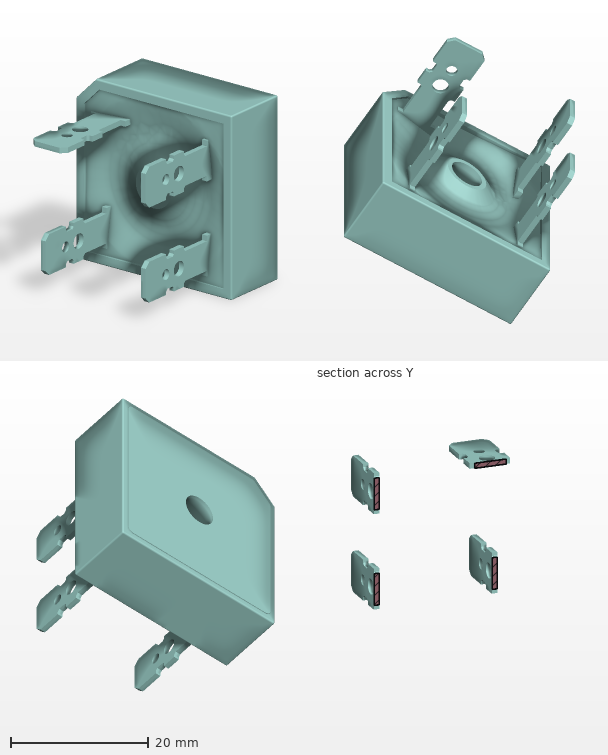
import cadquery as cq
import math


CASE_SIDE = 28.7
CASE_DEPTH = 11.08
CORNER_CLIP = 3.73
EDGE_RADIUS = 0.25
BORE_DIAMETER = 5.1

PLATE_INSET = 0.98
PLATE_HEIGHT = 0.11
PLATE_CORNER_RADIUS = 0.92

RIM_WIDTH = 1.5
BOSS_RADIUS = 3.3
BOSS_FOOT_RADIUS = 5.75
BOSS_FOOT_DEPTH = 1.44
DISH_LOW_RADIUS = 8.32
DISH_LOW_DEPTH = 1.78
DISH_RISE_RADIUS = 10.62
DISH_RISE_DEPTH = 1.25
DISH_EDGE_RADIUS = 13.2
DISH_EDGE_DEPTH = 0.6
DISH_CORNER_DEPTH = 0.17
BOSS_SLOPE = (1.0, 0.6)
CORNER_SLOPE = (1.0, -0.1)

TAB_REACH = 14.32
TAB_WIDTH = 6.35
TAB_THICKNESS = 0.85
TIP_CHAMFER = 0.85
NECK_WIDTH = TAB_WIDTH - 2 * TIP_CHAMFER
NOTCH_START = 4.82
NOTCH_END = 6.7
SHOULDER_END = 9.05
INNER_CORNER_CHAMFER = 0.35
LARGE_HOLE_DIAMETER = 2.38
LARGE_HOLE_SETBACK = (NOTCH_END + SHOULDER_END) / 2
SMALL_HOLE_DIAMETER = 1.66
SMALL_HOLE_SETBACK = 4.75
SELECT_MARGIN = 0.03
FOOT_RECESS = 0.17
FOOT_ROOT_DEPTH = 2.87

SIDE_TAB_X = 9.25
UPPER_TAB_Z = 6.25
CORNER_TAB_OFFSET = 8.52
SIDE_TAB_CENTRES = [
    (SIDE_TAB_X, UPPER_TAB_Z),
    (SIDE_TAB_X, -CORNER_TAB_OFFSET),
    (-SIDE_TAB_X, -CORNER_TAB_OFFSET),
]

TIP_Y = -TAB_REACH


def clipped_square(inset, start_y, depth):
    """Square prism, inset evenly from the case sides, with the -X +Z corner clipped."""
    half = CASE_SIDE / 2 - inset
    clip = CORNER_CLIP - inset * (2 - math.sqrt(2))
    return (
        cq.Workplane("XZ", origin=(0, start_y, 0))
        .moveTo(-half, -half)
        .lineTo(half, -half)
        .lineTo(half, half)
        .lineTo(-half + clip, half)
        .lineTo(-half, half - clip)
        .close()
        .extrude(-depth)
    )


def case():
    return clipped_square(0, 0, CASE_DEPTH).edges().fillet(EDGE_RADIUS)


def back_plate():
    plate = clipped_square(PLATE_INSET, CASE_DEPTH - EDGE_RADIUS, EDGE_RADIUS + PLATE_HEIGHT)
    return plate.edges("|Y").fillet(PLATE_CORNER_RADIUS)


def dish():
    """Space above the potting: it climbs a central boss and rises again to the rim corners."""
    corner_radius = math.sqrt(2) * (CASE_SIDE / 2 - RIM_WIDTH)
    dish_profile = [
        (BOSS_FOOT_RADIUS, BOSS_FOOT_DEPTH),
        (DISH_LOW_RADIUS, DISH_LOW_DEPTH),
        (DISH_RISE_RADIUS, DISH_RISE_DEPTH),
        (DISH_EDGE_RADIUS, DISH_EDGE_DEPTH),
        (corner_radius, DISH_CORNER_DEPTH),
    ]
    sweep = (
        cq.Workplane("XY")
        .moveTo(BOSS_RADIUS, 0)
        .spline(dish_profile, tangents=[BOSS_SLOPE, CORNER_SLOPE], includeCurrent=True)
        .lineTo(corner_radius, 0)
        .close()
        .revolve(360, (0, 0, 0), (0, 1, 0))
    )
    return sweep.intersect(clipped_square(RIM_WIDTH, 0, CASE_DEPTH))


def bore():
    full_depth = CASE_DEPTH + PLATE_HEIGHT
    return cq.Workplane("XZ").circle(BORE_DIAMETER / 2).extrude(-full_depth)


def tab_block(width, near_y, far_y):
    middle_y = (near_y + far_y) / 2
    return cq.Workplane("XY").box(width, far_y - near_y, TAB_THICKNESS).translate((0, middle_y, 0))


def terminal():
    """Flat spade lying in the XY plane, centred on X = 0."""
    neck = tab_block(NECK_WIDTH, TIP_Y, FOOT_ROOT_DEPTH)
    blade = tab_block(TAB_WIDTH, TIP_Y, TIP_Y + NOTCH_START).edges("|Z and <Y").chamfer(TIP_CHAMFER)
    shoulders = tab_block(TAB_WIDTH, TIP_Y + NOTCH_END, TIP_Y + SHOULDER_END)
    spade = neck.union(blade).union(shoulders)

    inner_corners = cq.selectors.BoxSelector(
        (-NECK_WIDTH / 2 - SELECT_MARGIN, TIP_Y + NOTCH_START - SELECT_MARGIN, -TAB_THICKNESS),
        (NECK_WIDTH / 2 + SELECT_MARGIN, TIP_Y + SHOULDER_END + SELECT_MARGIN, TAB_THICKNESS),
    )
    spade = spade.edges("|Z").edges(inner_corners).chamfer(INNER_CORNER_CHAMFER)

    spade = spade.union(tab_block(TAB_WIDTH, FOOT_RECESS, FOOT_ROOT_DEPTH))
    for diameter, setback in (
        (LARGE_HOLE_DIAMETER, LARGE_HOLE_SETBACK),
        (SMALL_HOLE_DIAMETER, SMALL_HOLE_SETBACK),
    ):
        hole = cq.Workplane("XY").center(0, TIP_Y + setback).circle(diameter / 2)
        spade = spade.cut(hole.extrude(TAB_THICKNESS, both=True))
    return spade


flat_tab = terminal()
upright_tab = flat_tab.rotate((0, 0, 0), (0, 1, 0), 90)

result = case().union(back_plate()).cut(dish()).cut(bore())
result = result.union(flat_tab.translate((-CORNER_TAB_OFFSET, 0, CORNER_TAB_OFFSET)))
for tab_x, tab_z in SIDE_TAB_CENTRES:
    result = result.union(upright_tab.translate((tab_x, 0, tab_z)))